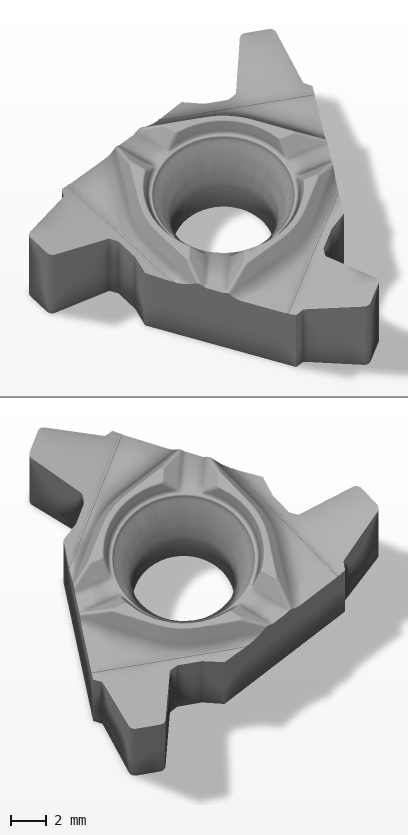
import cadquery as cq
import math


def tan_deg(angle):
    return math.tan(math.radians(angle))


TOOTH_COUNT = 3
TOOTH_PITCH = 360 / TOOTH_COUNT

hub_top = 6.05
floor_height = 4.93
slot_floor = 5.25
clearance = 1.95

side_distance = 6.34
root_depth = 6.4
tip_depth = 10.2
flank_angle = 15.0
tip_width = 1.93
tip_radius = 0.37
shoulder_drop = 0.27
shoulder_angle = 30.0
shoulder_radius = 0.2
root_end = -0.18
heel_angle = 15.0

ramp_start = 5.83
ramp_angle = 10.0
ramp_radius = 0.68

hub_top_radius = 4.8
hub_wall_angle = 55.0
hub_foot = hub_top_radius + (hub_top - floor_height) / tan_deg(hub_wall_angle)
hub_foot_radius = 0.76
hub_arc_angle = 30.0
top_edge_radius = 0.1

slot_direction = 195.0
slot_offset = -0.05
slot_floor_width = 1.1
slot_wall_angle = 39.0
slot_corner_radius = 0.3
slot_outer_radius = 0.2
slot_inner_radius = 0.2

recess_top_radius = 4.47
recess_floor_radius = 4.2
recess_foot_radius = 0.2

bore_diameter = 5.7
bore_radius = bore_diameter / 2
rim_radius = 3.94
rim_edge_radius = 0.08
seat_radius = 3.85
seat_top = 4.93
seat_bottom = 2.13


def polar(radius, angle):
    return radius * math.cos(math.radians(angle)), radius * math.sin(math.radians(angle))


def around(shape):
    """Copies of the shape turned about the bore axis, one per tooth."""
    return [shape.rotate((0, 0, 0), (0, 0, 1), i * TOOTH_PITCH) for i in range(TOOTH_COUNT)]


def turned(point, angle):
    """The plan point turned about the bore axis."""
    radius = math.hypot(*point)
    return polar(radius, math.degrees(math.atan2(point[1], point[0])) + angle)


def edges_at(solid, points):
    """The edges whose middle lies over the given plan points."""
    near = 0.02
    found = []
    for x, y in points:
        box = cq.selectors.BoxSelector((x - near, y - near, 0), (x + near, y + near, hub_top))
        found += solid.edges(box).vals()
    return found


def make_body():
    """Prism with the plan outline, at full hub height."""
    flank_depth = root_depth + shoulder_drop
    half_tip = tip_width / 2
    half_flank = half_tip + (tip_depth - flank_depth) * tan_deg(flank_angle)
    half_root = half_flank + shoulder_drop / tan_deg(shoulder_angle)
    tooth_center = half_root - side_distance
    outer_flank = (tooth_center - half_flank, -flank_depth)
    inner_flank = (tooth_center + half_flank, -flank_depth)
    inner_root = (tooth_center + half_root, -root_depth)
    tip_corners = [(tooth_center - half_tip, -tip_depth), (tooth_center + half_tip, -tip_depth)]

    normal_x, normal_y = turned((-1, 0), TOOTH_PITCH)
    gap = side_distance - root_end * normal_x + root_depth * normal_y
    heel_run = gap / (normal_x - tan_deg(heel_angle) * normal_y)
    heel = (root_end + heel_run, -root_depth - heel_run * tan_deg(heel_angle))

    outer_root = (-side_distance, -root_depth)
    root_turn = (root_end, -root_depth)
    third = [outer_root, outer_flank, *tip_corners, inner_flank, inner_root, root_turn, heel]
    outline = [turned(p, i * TOOTH_PITCH) for i in range(TOOTH_COUNT) for p in third]
    body = cq.Workplane("XY").polyline(outline).close().extrude(hub_top)

    shoulder_corners = [outer_flank, inner_flank, inner_root]
    for points, radius in ((tip_corners, tip_radius), (shoulder_corners, shoulder_radius)):
        corners = [turned(p, i * TOOTH_PITCH) for i in range(TOOTH_COUNT) for p in points]
        body = body.newObject(edges_at(body, corners)).fillet(radius)
    return body


def make_rake_ramp():
    """Material left under the sloping rake face of the -Y tooth."""
    bend_run = ramp_radius * math.sin(math.radians(ramp_angle))
    bend_rise = ramp_radius * (1 - math.cos(math.radians(ramp_angle)))
    far = tip_depth + clearance
    bend_end = ramp_start + bend_run
    far_height = floor_height + bend_rise + (far - bend_end) * tan_deg(ramp_angle)
    return (
        cq.Workplane("YZ")
        .moveTo(-ramp_start, 0)
        .lineTo(-ramp_start, floor_height)
        .tangentArcPoint((-bend_end, floor_height + bend_rise), relative=False)
        .lineTo(-far, far_height)
        .lineTo(-far, 0)
        .close()
        .extrude(tip_depth, both=True)
    )


def make_lobe_cutter():
    """Clears everything outside one hub lobe down to the chip floor."""
    length = tip_depth
    arc_start_angle = -90
    arc_middle = polar(hub_top_radius, arc_start_angle - hub_arc_angle / 2)
    arc_end = polar(hub_top_radius, arc_start_angle - hub_arc_angle)
    path = (
        cq.Workplane("XY")
        .moveTo(length, -hub_top_radius)
        .lineTo(0, -hub_top_radius)
        .threePointArc(arc_middle, arc_end)
        .line(*polar(length, 180 - hub_arc_angle))
    )
    slope = tan_deg(hub_wall_angle)
    tangent = hub_foot_radius * tan_deg(hub_wall_angle / 2)
    wall_x, wall_z = polar(tangent, 180 - hub_wall_angle)
    far = tip_depth + clearance
    profile = (
        cq.Workplane("YZ", origin=(length, 0, 0))
        .moveTo(-hub_top_radius + clearance / slope, hub_top + clearance)
        .lineTo(-hub_foot - wall_x, floor_height + wall_z)
        .tangentArcPoint((-hub_foot - tangent, floor_height), relative=False)
        .lineTo(-far, floor_height)
        .lineTo(-far, hub_top + clearance)
        .close()
    )
    return profile.sweep(path).cut(make_rake_ramp())


def make_slot_cutter():
    """Nearly radial trapezoid groove across the hub wall, with rounded floor corners."""
    half_floor = slot_floor_width / 2
    height = hub_top + clearance - slot_floor
    half_mouth = half_floor + height / tan_deg(slot_wall_angle)
    return (
        cq.Workplane("YZ", origin=(bore_radius, slot_offset, slot_floor))
        .polyline([(-half_floor, 0), (half_floor, 0), (half_mouth, height), (-half_mouth, height)])
        .close()
        .extrude(tip_depth)
        .faces("<Z")
        .edges("|X")
        .fillet(slot_corner_radius)
        .rotate((0, 0, 0), (0, 0, 1), slot_direction)
    )


def make_recess_cutter():
    """Round tapered recess in the hub top."""
    wall_foot = (recess_floor_radius, slot_floor)
    wall_top = (recess_top_radius, hub_top)
    return (
        cq.Workplane("XZ")
        .polyline([(0, slot_floor), wall_foot, wall_top, (0, hub_top)])
        .close()
        .revolve(360, (0, 0), (0, 1))
        .faces("<Z")
        .edges()
        .fillet(recess_foot_radius)
    )


def make_bore_cutter():
    """Through bore with a flared screw seat that is tangent to the bore."""
    run = seat_radius - bore_radius
    rise = seat_top - seat_bottom
    return (
        cq.Workplane("XZ")
        .moveTo(0, 0)
        .lineTo(bore_radius, 0)
        .lineTo(bore_radius, seat_bottom)
        .tangentArcPoint((run, rise))
        .tangentArcPoint((rim_radius, slot_floor - rim_edge_radius), relative=False)
        .tangentArcPoint((rim_edge_radius, rim_edge_radius))
        .lineTo(0, slot_floor)
        .close()
        .revolve(360, (0, 0), (0, 1))
    )


def round_slot_ends(solid, inner, outer, radius):
    """Rounds the slot wall ends whose edges lie between two distances from the bore axis."""
    half_height = (slot_floor + hub_top) / 2

    def is_slot_end(edge):
        middle = edge.Center()
        distance = math.hypot(middle.x, middle.y)
        return inner < distance < outer and half_height < middle.z < hub_top

    ends = [edge for edge in solid.edges().vals() if is_slot_end(edge)]
    return solid.newObject(ends).fillet(radius)


result = make_body()
for cutter in around(make_lobe_cutter()):
    result = result.cut(cutter)
result = result.cut(make_recess_cutter())
for cutter in around(make_slot_cutter()):
    result = result.cut(cutter)
result = round_slot_ends(result, hub_foot, side_distance, slot_outer_radius)
result = round_slot_ends(result, recess_floor_radius, recess_top_radius, slot_inner_radius)
result = result.faces(">Z").edges().fillet(top_edge_radius)
result = result.cut(make_bore_cutter())